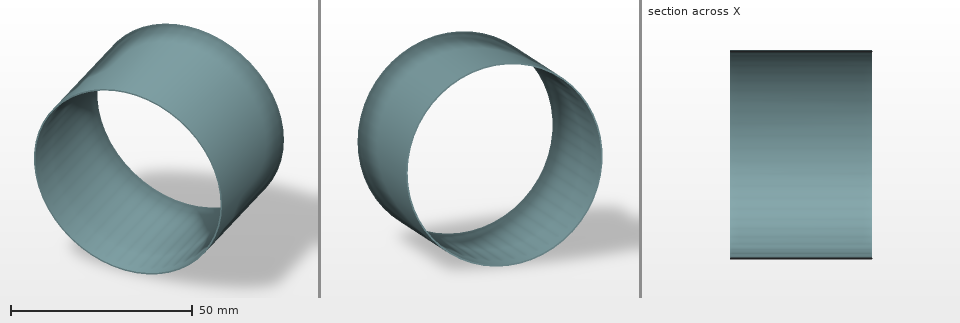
import cadquery as cq

outer_diameter = 57.65
wall_thickness = 0.45
length = 39.0

inner_diameter = outer_diameter - 2 * wall_thickness


def make_sleeve():
    """Ring profile on the +Y end plane, extruded towards -Y."""
    return (
        cq.Workplane("XZ", origin=(0, length / 2, 0))
        .circle(outer_diameter / 2)
        .circle(inner_diameter / 2)
        .extrude(length)
    )


result = make_sleeve()